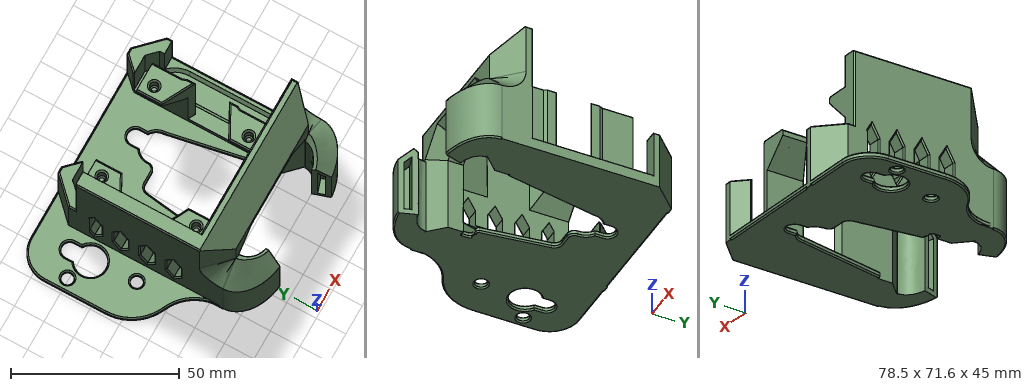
import cadquery as cq
import math

length = 78.5
depth = 71.6
height = 45.0
edge_break = 0.5

plate_t = 2.0
plate_corner_r = 9.8
bend_start_y = 41.0
bend_r = 16.1
bend_angle = math.radians(66)
back_chamfer = 7.9

body_left = 18.4
body_mid = (body_left + length) / 2
body_front = 11.4
front_wall_back = 21.5
wall_t = 4.8
wall_inner = body_left + wall_t
wall_back = 61.4
big_chamfer = 8.0

arch_top = 30.0
arch_corner = 5.0
arch_flare = 5.0

arm_side_z = 19.9
arm_ridge_z = arm_side_z + big_chamfer
arm_tip_outer = (32.65, 0.0)
arm_tip_inner = (34.55, 5.8)
arm_a = 16.95
arm_inner_x = 28.4
arm_inner_a = 7.85
arm_lip_root_z = 25.9
arm_lip_tip_z = 23.15
arm_slot_width = 2.35
arm_slot_margin = 1.7
arm_slot_depth = 4.7

hook_z = 19.9
hook_throat_y = 66.7
hook_throat_cut = 3.2
hook_flat = 2.1
hook_reach = 14.4

tab_top = 34.6
tab_t = 2.05
tab_reach = 8.2
tab_mid_x = 43.5
tab_mid_y = (wall_back + front_wall_back) / 2
tab_tip_len = 8.6
tab_root_len = 12.95
screw_offset = 16.0
screw_d = 2.8
screw_csk_d = 4.0
screw_tip_d = 1.8
screw_depth = 3.9

post_inner = 2 * tab_mid_x - wall_inner
arch_half = post_inner - body_mid
post_t = 1.7
post_foot_t = 2.3
post_foot_len = 11.3
post_step_len = 10.1
post_len = tab_root_len + post_foot_t * (tab_root_len - tab_tip_len) / tab_reach

tray_top = 4.1
tray_depth = 1.0
tray_left = 68.4
tray_right = 76.9
tray_front = 21.7
tray_back = 64.7
tray_inner_back = 62.2
tray_bend_r = 9.9
tray_inner_r = 3.6

ramp_run = 10.45
ramp_front = 24.9
vent_count = 4
vent_pitch = 8.95
vent_first_y = 28.1
vent_half_w = 2.4
vent_half_h = 8.55
vent_half_side = 4.4
vent_z = 13.4

window_back = 50.1
window_back_left = 38.7
window_front_left = 35.25
window_notch = 31.6
window_r = 2.35
window_small_r = 1.0

hole_d = 4.0
hole_places = [(3.9, 56.0), (12.95, 37.5)]
keyhole_x = (11.9, 52.05)
keyhole_head_y = 52.6
keyhole_head_d = 10.2
keyhole_slot_y = 59.65
keyhole_slot_w = 5.3


def prism(points, bottom, top):
    return cq.Workplane("XY").workplane(offset=bottom).polyline(points).close().extrude(top - bottom)


def mirror_x(solid, x):
    return solid.mirror("YZ", (x, 0, 0))


def mirror_y(solid, y):
    return solid.mirror("XZ", (0, y, 0))


def box(x0, x1, y0, y1, z0, z1):
    return cq.Workplane("XY").box(x1 - x0, y1 - y0, z1 - z0, centered=False).translate((x0, y0, z0))


def base_plate():
    """Plate with a rounded back corner and an S-shaped flank that runs into the housing."""
    sweep_x = 1 - math.cos(bend_angle)
    sweep_y = math.sin(bend_angle)
    inflection = (bend_r * sweep_x, bend_start_y - bend_r * sweep_y)
    return_r = (body_left - inflection[0]) / sweep_x
    bend_end_y = inflection[1] - return_r * sweep_y
    half_x = 1 - math.cos(bend_angle / 2)
    half_y = math.sin(bend_angle / 2)
    corner_mid = plate_corner_r * (1 - math.sqrt(0.5))
    plate = (
        cq.Workplane("XY")
        .moveTo(body_left, body_front)
        .lineTo(body_left, bend_end_y)
        .threePointArc((body_left - return_r * half_x, bend_end_y + return_r * half_y), inflection)
        .threePointArc((bend_r * half_x, bend_start_y - bend_r * half_y), (0, bend_start_y))
        .lineTo(0, depth - plate_corner_r)
        .threePointArc((corner_mid, depth - corner_mid), (plate_corner_r, depth))
        .lineTo(length - back_chamfer, depth)
        .lineTo(length, depth - back_chamfer)
        .lineTo(length, body_front)
        .close()
        .extrude(plate_t)
    )
    plate = plate.cut(plate_window())
    for x in keyhole_x:
        plate = plate.cut(keyhole(x))
    plate = plate.cut(cq.Workplane("XY").pushPoints(hole_places).circle(hole_d / 2).extrude(plate_t))
    return plate.faces("<Z or >Z").chamfer(edge_break)


def keyhole(x):
    head = cq.Workplane("XY").center(x, keyhole_head_y).circle(keyhole_head_d / 2).extrude(plate_t)
    top = cq.Workplane("XY").center(x, keyhole_slot_y).circle(keyhole_slot_w / 2).extrude(plate_t)
    neck = box(x - keyhole_slot_w / 2, x + keyhole_slot_w / 2, keyhole_head_y, keyhole_slot_y, 0, plate_t)
    return head.union(top).union(neck)


def plate_window():
    """Tapered window that joins the second keyhole and opens into the arch."""
    head_r = keyhole_head_d / 2
    window = prism(
        [(window_back_left, window_back), (keyhole_x[1], window_back),
         (keyhole_x[1] + head_r, keyhole_head_y),
         (body_mid + arch_half, front_wall_back - arch_flare), (window_notch, front_wall_back - arch_flare),
         (window_notch, ramp_front), (window_front_left, ramp_front)],
        0, plate_t,
    )
    window = window.union(keyhole(keyhole_x[1]))
    head_corner_x = keyhole_x[1] - math.sqrt(head_r ** 2 - (keyhole_head_y - window_back) ** 2)
    rounded_corners = [
        (window_back_left, window_back, window_r),
        (head_corner_x, window_back, window_r),
        (window_front_left, ramp_front, window_small_r),
        (window_notch, ramp_front, window_small_r),
    ]
    for x, y, r in rounded_corners:
        corner = cq.selectors.NearestToPointSelector((x, y, plate_t / 2))
        window = window.edges("|Z").edges(corner).fillet(r)
    return window


def vent(y):
    """Hexagon with points up and down, through the wall and its ramp."""
    points = [
        (y, vent_z + vent_half_h), (y + vent_half_w, vent_z + vent_half_side),
        (y + vent_half_w, vent_z - vent_half_side), (y, vent_z - vent_half_h),
        (y - vent_half_w, vent_z - vent_half_side), (y - vent_half_w, vent_z + vent_half_side),
    ]
    sketch = cq.Workplane("YZ", origin=(body_left, 0, 0)).polyline(points).close()
    return sketch.extrude(wall_t + ramp_run)


def side_wall():
    """Left wall with a 45-degree ramp at its inner foot and a row of pointed vents."""
    wall = box(body_left, wall_inner, body_front + big_chamfer, wall_back, 0, height)
    ramp = (
        cq.Workplane("XZ", origin=(0, wall_back, 0))
        .polyline([(wall_inner, 0), (wall_inner + ramp_run, 0), (wall_inner + ramp_run, plate_t),
                   (wall_inner, plate_t + ramp_run)])
        .close()
        .extrude(wall_back - ramp_front)
    )
    wall = wall.union(ramp)
    for k in range(vent_count):
        wall = wall.cut(vent(vent_first_y + k * vent_pitch))
    return wall.faces("<X").edges().chamfer(edge_break)


def arch():
    """Chamfered arch that flares out at 45 degrees toward the front face."""
    def outline(y, grow):
        corner = arch_corner + grow * (2 - math.sqrt(2))
        half = arch_half + grow
        top = arch_top + grow
        return [
            cq.Vector(body_mid + sx * x, y, z)
            for sx, x, z in [(-1, half, 0), (-1, half, top - corner), (-1, half - corner, top),
                             (1, half - corner, top), (1, half, top - corner), (1, half, 0)]
        ]

    def wire(points):
        return cq.Wire.makePolygon(points, close=True)

    flare = cq.Solid.makeLoft(
        [wire(outline(body_front, arch_flare)), wire(outline(body_front + arch_flare, 0))], True)
    throat = cq.Solid.makeLoft(
        [wire(outline(body_front + arch_flare, 0)), wire(outline(front_wall_back, 0))], True)
    return cq.Workplane(flare).union(cq.Workplane(throat))


def front_wall():
    wall = box(body_left, length, body_front, front_wall_back, 0, height)
    wall = wall.faces(">Z").edges("<Y").chamfer(big_chamfer)
    return wall.faces(">Z").edges(">Y or |Y").chamfer(edge_break)


def shoulder_cut():
    """45-degree corner above the arm that turns over into the arm's sloping top."""
    corner = prism(
        [(body_left, body_front), (body_left + big_chamfer, body_front),
         (body_left, body_front + big_chamfer)],
        arm_ridge_z, height,
    )
    cone = (
        cq.Workplane("XY", origin=(0, body_front, arm_ridge_z))
        .polyline([(body_left, 0), (body_left + big_chamfer, 0), (body_left, big_chamfer)])
        .close()
        .revolve(360, (0, 0, 0), (1, 0, 0))
    )
    return corner.union(cone)


def arm():
    """Curved left arm with a 45-degree top, seen in plan as a quarter-elliptical band."""
    center_x = body_left + arm_a
    tip_ratio = (center_x - arm_tip_outer[0]) / arm_a
    arm_b = (body_front - arm_tip_outer[1]) / math.sqrt(1 - tip_ratio ** 2)
    inner_x = arm_inner_x + arm_inner_a
    inner_ratio = (inner_x - arm_tip_inner[0]) / arm_inner_a
    inner_b = (body_front - arm_tip_inner[1]) / math.sqrt(1 - inner_ratio ** 2)

    base = cq.Workplane("XY").center(center_x, body_front).ellipse(arm_a, arm_b).extrude(arm_side_z)
    base = base.faces("<Z").chamfer(edge_break)
    cap = (
        cq.Workplane("XY").workplane(offset=arm_side_z).center(center_x, body_front)
        .ellipse(arm_a, arm_b)
        .workplane(offset=big_chamfer)
        .ellipse(arm_a - big_chamfer, arm_b - big_chamfer)
        .loft(ruled=True)
    )
    hollow = cq.Workplane("XY").center(inner_x, body_front).ellipse(arm_inner_a, inner_b).extrude(height)
    run_x = arm_tip_inner[0] - arm_tip_outer[0]
    run_y = arm_tip_inner[1] - arm_tip_outer[1]
    limit = prism(
        [(body_left, body_front), (body_left, arm_tip_outer[1] - run_y),
         (arm_tip_outer[0] - run_x, arm_tip_outer[1] - run_y),
         (arm_tip_inner[0] + run_x, arm_tip_inner[1] + run_y),
         (arm_tip_inner[0] + run_x, body_front)],
        0, height,
    )
    band = base.union(cap).cut(hollow).intersect(limit)
    lip = (
        cq.Workplane("XY").workplane(offset=arm_lip_tip_z).center(inner_x, body_front)
        .ellipse(arm_inner_a - arm_lip_root_z + arm_lip_tip_z, inner_b)
        .workplane(offset=arm_ridge_z - arm_lip_tip_z)
        .ellipse(arm_inner_a + arm_ridge_z - arm_lip_root_z, inner_b + arm_ridge_z - arm_lip_tip_z)
        .loft(ruled=True)
    )
    return band.cut(lip).cut(arm_slot())


def arm_slot():
    """Blind slot in the end of the arm with a sloping top."""
    run = cq.Vector(arm_tip_inner[0] - arm_tip_outer[0], arm_tip_inner[1] - arm_tip_outer[1], 0)
    face = cq.Plane(
        origin=(arm_tip_outer[0], arm_tip_outer[1], 0), xDir=run.toTuple(), normal=(run.y, -run.x, 0))
    start = (run.Length - arm_slot_width) / 2
    end = start + arm_slot_width
    slot_top = arm_side_z - arm_slot_margin / 2
    return (
        cq.Workplane(face)
        .polyline([(start, arm_slot_margin), (end, arm_slot_margin), (end, slot_top + arm_slot_width),
                   (start, slot_top)])
        .close()
        .extrude(-arm_slot_depth)
    )


def front_frame():
    """Front wall with its arch and both arms, symmetric about the middle of the housing."""
    left_half = front_wall().cut(shoulder_cut()).cut(arch())
    left_half = left_half.intersect(box(body_left, body_mid, 0, depth, 0, height)).union(arm())
    return left_half.union(mirror_x(left_half, body_mid))


def hook(front_y):
    """Left rear hook, rising from the plate and ending at the given front face."""
    back_x = body_left + back_chamfer
    tip_x = body_left + hook_reach
    points = [
        (body_left, front_y), (body_left, depth - back_chamfer), (back_x, depth),
        (back_x + hook_flat, depth), (tip_x, hook_throat_y + edge_break), (tip_x, hook_throat_y),
        (wall_inner + hook_throat_cut, hook_throat_y), (wall_inner, hook_throat_y - hook_throat_cut),
        (wall_inner, front_y),
    ]
    solid = prism(points, 0, hook_z)
    return solid.faces(">Z").edges("<X or >Y or <(1,-1,0) or >(1,1,0)").chamfer(edge_break)


def tab():
    """Rear left screw tab on a 45-degree bracket."""
    bracket = (
        cq.Workplane("XZ", origin=(0, wall_back, 0))
        .polyline([(wall_inner, tab_top), (wall_inner + tab_reach, tab_top),
                   (wall_inner + tab_reach, tab_top - tab_t), (wall_inner, tab_top - tab_t - tab_reach)])
        .close()
        .extrude(tab_root_len)
    )
    plan = prism(
        [(wall_inner, wall_back), (wall_inner + tab_reach, wall_back),
         (wall_inner + tab_reach, wall_back - tab_tip_len), (wall_inner, wall_back - tab_root_len)],
        0, tab_top,
    )
    return bracket.intersect(plan)


def post():
    """Rear post carrying a right tab, drawn at the left so that it can be mirrored with its tab."""
    points = [
        (wall_inner, wall_back), (wall_inner - post_t, wall_back),
        (wall_inner - post_t, wall_back - post_step_len),
        (wall_inner - post_foot_t, wall_back - post_foot_len),
        (wall_inner - post_foot_t, wall_back - post_len),
        (wall_inner, wall_back - tab_root_len),
    ]
    return prism(points, 0, tab_top)


def screw_hole():
    """Countersunk blind hole with a conical end, in the rear left tab."""
    r = screw_d / 2
    csk_r = screw_csk_d / 2
    tip_r = screw_tip_d / 2
    return (
        cq.Workplane("XZ", origin=(tab_mid_x - screw_offset, tab_mid_y + screw_offset, tab_top))
        .polyline([(0, 0), (csk_r, 0), (r, r - csk_r), (r, -screw_depth),
                   (tip_r, tip_r - r - screw_depth), (0, tip_r - r - screw_depth)])
        .close()
        .revolve(360, (0, 0, 0), (0, 1, 0))
    )


def cable_tray():
    """Low pad whose sloped-edge channel runs back and bends behind the right posts."""
    pad = prism(
        [(post_inner, front_wall_back), (length, front_wall_back), (length, depth - back_chamfer),
         (length + depth - back_chamfer - hook_throat_y, hook_throat_y), (post_inner, hook_throat_y)],
        0, tray_top,
    )
    pad = pad.faces(">X").edges(">Z").chamfer(edge_break)
    diagonal = math.sqrt(0.5)
    bend = (tray_right - tray_bend_r, tray_back - tray_bend_r)
    inner_bend = (tray_left - tray_inner_r, tray_inner_back - tray_inner_r)
    open_end = post_inner - 2 * tray_depth
    channel = (
        cq.Workplane("XY").workplane(offset=tray_top)
        .moveTo(tray_left, tray_front)
        .lineTo(tray_right, tray_front)
        .lineTo(tray_right, bend[1])
        .threePointArc(
            (bend[0] + tray_bend_r * diagonal, bend[1] + tray_bend_r * diagonal), (bend[0], tray_back))
        .lineTo(open_end, tray_back)
        .lineTo(open_end, tray_inner_back)
        .lineTo(inner_bend[0], tray_inner_back)
        .threePointArc(
            (inner_bend[0] + tray_inner_r * diagonal, inner_bend[1] + tray_inner_r * diagonal),
            (tray_left, inner_bend[1]))
        .close()
        .extrude(-tray_depth, taper=45)
    )
    return pad.cut(channel)


result = base_plate().cut(arch()).union(side_wall()).union(front_frame()).union(cable_tray())
result = result.union(hook(wall_back - wall_t)).union(mirror_x(hook(wall_back + edge_break), body_mid))

left_tab = tab().faces(">Z").edges("(not >Y) and (not <X)").chamfer(edge_break)
right_tab = mirror_x(tab().union(post()), tab_mid_x)
right_tab = right_tab.faces(">Z").edges("not >Y").chamfer(edge_break)
for part in (left_tab, right_tab):
    result = result.union(part).union(mirror_y(part, tab_mid_y))
screw = screw_hole()
for hole in (screw, mirror_x(screw, tab_mid_x)):
    result = result.cut(hole).cut(mirror_y(hole, tab_mid_y))